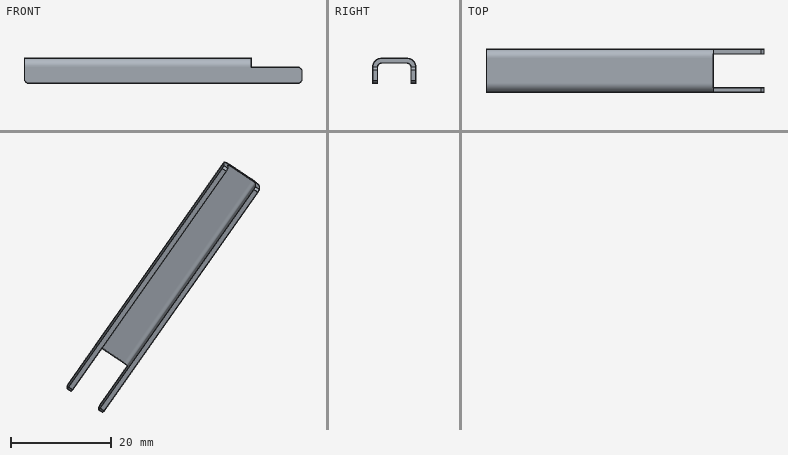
import cadquery as cq

length = 55.0
width = 8.6
height = 5.0
wall = 1.0

outer_radius = 1.75
inner_radius = outer_radius - wall

web_length = 45.0
corner_chamfer = 0.55

leg_height = height - outer_radius
overcut = 0.55


def box_from(x, y, z, x_size, y_size, z_size):
    """Box with its lowest corner at (x, y, z)."""
    return cq.Workplane("XY").box(x_size, y_size, z_size, centered=False).translate((x, y, z))


outer = box_from(0, -width / 2, 0, length, width, height)
outer = outer.edges("|X and >Z").fillet(outer_radius)
cavity = box_from(
    -overcut, wall - width / 2, -overcut,
    length + 2 * overcut, width - 2 * wall, height - wall + overcut,
)
cavity = cavity.edges("|X and >Z").fillet(inner_radius)
channel = outer.cut(cavity)

web_notch = box_from(
    web_length, -width / 2 - overcut, leg_height,
    length - web_length + overcut, width + 2 * overcut, outer_radius + overcut,
)
channel = channel.cut(web_notch)

channel = channel.edges("|Y and >X").chamfer(corner_chamfer)
channel = channel.edges("|Y and <X and <Z").chamfer(corner_chamfer)

result = channel